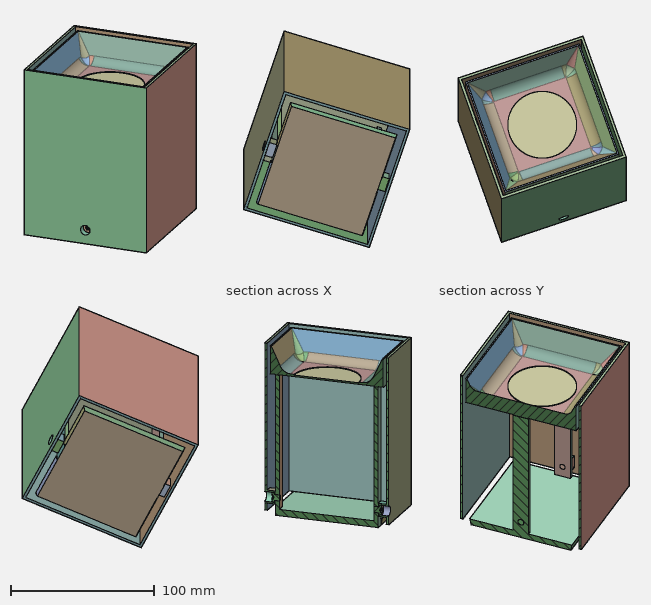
import cadquery as cq
import math

total_height = 126.4
sleeve_side = 92.0
base_stick_out = 3.0

sleeve_wall = 1.9
sleeve_height = total_height - base_stick_out
sleeve_inner_side = sleeve_side - 2 * sleeve_wall

base_side = 78.0
leg_span = 76.1
plate_thickness = 5.0
plate_draft = 10.5
leg_width = 12.1
leg_thickness = 3.0

gap = 2.1
reflector_side = sleeve_inner_side - 2 * gap
rim_width = 1.0
rim_drop = 1.8
dish_depth = 18.7
dish_draft = 25.4
dish_floor_radius = 8.5
dish_mouth_corner = 0.06
dish_floor_corner = 6.0
floor_thickness = 2.0
recess_diameter = 48.0
recess_depth = 0.5
rim_z = total_height - rim_drop
reflector_bottom_z = rim_z - dish_depth - floor_thickness

screw_z = 13.3
boss_side = 10.0
boss_reach = (sleeve_side - leg_span) / 2
boss_floor = 1.0
head_diameter = 7.0
head_height = 1.9
shank_diameter = 4.0
shank_length = boss_floor + leg_thickness
socket_flats = 3.2
socket_depth = 1.0
socket_tip_diameter = 2.0
socket_tip_depth = 0.6
socket_corners = socket_flats / math.cos(math.pi / 6)
seat_y = leg_span / 2 + boss_floor

screw_turns = (0, 180)


def square_block(side, bottom_z, height):
    return cq.Workplane("XY", origin=(0, 0, bottom_z)).rect(side, side).extrude(height)


def rod_along_y(diameter, start_y, end_y):
    """Cylinder on the -Y screw axis between two distances from the part's centre."""
    return (
        cq.Workplane("XZ", origin=(0, -start_y, screw_z))
        .circle(diameter / 2)
        .extrude(end_y - start_y)
    )


def turned(shape, angle):
    return shape.rotate((0, 0, 0), (0, 0, 1), angle)


def make_sleeve():
    outside = square_block(sleeve_side, base_stick_out, sleeve_height)
    inside = square_block(sleeve_inner_side, base_stick_out, sleeve_height)
    sleeve = outside.cut(inside)
    outer_y = sleeve_side / 2
    boss = (
        cq.Workplane("XZ", origin=(0, boss_reach - outer_y, screw_z))
        .rect(boss_side, boss_side)
        .extrude(boss_reach - sleeve_wall)
    )
    bore = rod_along_y(head_diameter, seat_y, outer_y)
    clearance = rod_along_y(shank_diameter, outer_y - boss_reach, seat_y)
    for angle in screw_turns:
        sleeve = sleeve.union(turned(boss, angle))
        sleeve = sleeve.cut(turned(bore, angle)).cut(turned(clearance, angle))
    return sleeve


def make_base():
    plate = (
        cq.Workplane("XY", origin=(0, 0, plate_thickness))
        .rect(base_side, base_side)
        .extrude(-plate_thickness, taper=plate_draft)
    )
    notch = (
        cq.Workplane("XY")
        .center(0, -(base_side + leg_span) / 4)
        .rect(leg_width, (base_side - leg_span) / 2)
        .extrude(plate_thickness)
    )
    leg = (
        cq.Workplane("XY")
        .center(0, -(leg_span - leg_thickness) / 2)
        .rect(leg_width, leg_thickness)
        .extrude(reflector_bottom_z)
    )
    thread_hole = rod_along_y(shank_diameter, leg_span / 2 - leg_thickness, leg_span / 2)
    base = plate
    for angle in screw_turns:
        base = base.cut(turned(notch, angle)).union(turned(leg, angle))
        base = base.cut(turned(thread_hole, angle))
    return base


def corner_arc(side, radius, z):
    """Rounding of the +X +Y corner of a square at height z."""
    tangent = side / 2
    start = tangent - radius
    middle = start + radius * math.sqrt(0.5)
    return cq.Edge.makeThreePointArc(
        cq.Vector(tangent, start, z), cq.Vector(middle, middle, z), cq.Vector(start, tangent, z)
    )


def ring_of_corners(side, radius, z):
    arc = corner_arc(side, radius, z)
    return [turned(arc, 90 * quarter) for quarter in range(4)]


def straight(start, end):
    return cq.Edge.makeLine(start, end)


def make_dish():
    """Hollow of the reflector: four flat leaning walls, corners widening from sharp to round."""
    mouth_side = reflector_side - 2 * rim_width
    floor_side = mouth_side - 2 * dish_depth * math.tan(math.radians(dish_draft))
    mouth_arcs = ring_of_corners(mouth_side, dish_mouth_corner, rim_z)
    floor_arcs = ring_of_corners(floor_side, dish_floor_corner, rim_z - dish_depth)

    mouth_edges = []
    floor_edges = []
    faces = []
    for quarter in range(4):
        following = (quarter + 1) % 4
        mouth_arc, floor_arc = mouth_arcs[quarter], floor_arcs[quarter]
        mouth_end, mouth_next = mouth_arc.endPoint(), mouth_arcs[following].startPoint()
        floor_end, floor_next = floor_arc.endPoint(), floor_arcs[following].startPoint()
        mouth_line = straight(mouth_end, mouth_next)
        floor_line = straight(floor_end, floor_next)
        rising_line = straight(floor_next, mouth_next)
        falling_line = straight(mouth_end, floor_end)
        wall = cq.Wire.assembleEdges([floor_line, rising_line, mouth_line, falling_line])
        faces.append(cq.Face.makeFromWires(wall))
        faces.append(cq.Face.makeRuledSurface(floor_arc, mouth_arc))
        mouth_edges += [mouth_arc, mouth_line]
        floor_edges += [floor_arc, floor_line]
    faces.append(cq.Face.makeFromWires(cq.Wire.assembleEdges(mouth_edges)))
    faces.append(cq.Face.makeFromWires(cq.Wire.assembleEdges(floor_edges)))

    hollow = cq.Solid.makeSolid(cq.Shell.makeShell(faces))
    return cq.Workplane(hollow).faces("<Z").edges().fillet(dish_floor_radius)


def make_reflector():
    block = square_block(reflector_side, reflector_bottom_z, rim_z - reflector_bottom_z)
    recess = (
        cq.Workplane("XY", origin=(0, 0, rim_z - dish_depth))
        .circle(recess_diameter / 2)
        .extrude(-recess_depth)
    )
    return block.cut(make_dish()).cut(recess)


def make_screw():
    """Socket-head screw on the -Y side, head facing outwards."""
    head_y = seat_y + head_height
    head = rod_along_y(head_diameter, seat_y, head_y)
    shank = rod_along_y(shank_diameter, seat_y - shank_length, seat_y)
    socket = (
        cq.Workplane("XZ", origin=(0, -head_y, screw_z))
        .polygon(6, socket_corners)
        .extrude(-socket_depth)
    )
    inwards = cq.Vector(0, 1, 0)
    tip_start = cq.Vector(0, socket_depth - head_y, screw_z)
    tip = cq.Solid.makeCone(socket_tip_diameter / 2, 0, socket_tip_depth, tip_start, inwards)
    return head.union(shank).cut(socket).cut(cq.Workplane(tip))


sleeve = make_sleeve()
base = make_base()
reflector = make_reflector()
screws = [turned(make_screw(), angle) for angle in screw_turns]

result = cq.Compound.makeCompound(
    [sleeve.val(), base.val(), reflector.val(), *[screw.val() for screw in screws]]
)